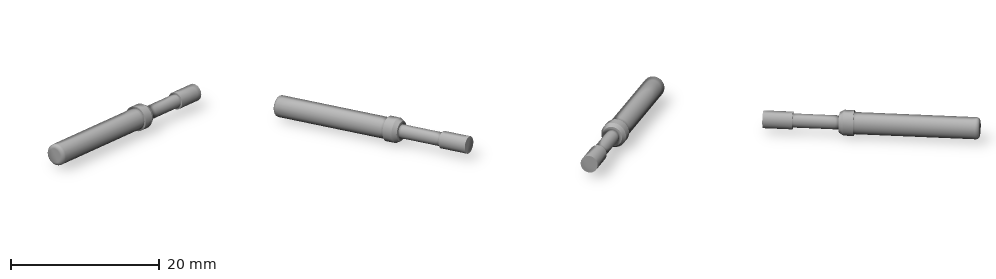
import cadquery as cq
import math

total_length = 29.3
body_diameter = 3.0
body_length = 17.0
body_end_radius = 0.5
collar_diameter = 3.5
collar_length = 2.0
collar_taper_length = 0.62
collar_taper_angle = 30.0
neck_diameter = 1.9
tip_diameter = 2.4
tip_length = 4.0

collar_end = body_length + collar_length
tip_start = total_length - tip_length
neck_length = tip_start - collar_end


def cylinder(start, diameter, length):
    """Solid cylinder about the Y axis, growing toward +Y from the start station."""
    plane = cq.Workplane("XZ", origin=(0, start, 0))
    return plane.circle(diameter / 2).extrude(-length)


def make_body():
    """Long barrel with a rounded free end."""
    return cylinder(0, body_diameter, body_length).faces("<Y").edges().fillet(body_end_radius)


def make_collar():
    """Stop collar that tapers toward the neck."""
    taper_depth = collar_taper_length * math.tan(math.radians(collar_taper_angle))
    outer_radius = collar_diameter / 2
    profile = (
        cq.Workplane("XY")
        .moveTo(0, body_length)
        .lineTo(outer_radius, body_length)
        .lineTo(outer_radius, collar_end - collar_taper_length)
        .lineTo(outer_radius - taper_depth, collar_end)
        .lineTo(0, collar_end)
        .close()
    )
    return profile.revolve(360, (0, 0, 0), (0, 1, 0))


neck = cylinder(collar_end, neck_diameter, neck_length)
tip = cylinder(tip_start, tip_diameter, tip_length)

result = make_body().union(make_collar()).union(neck).union(tip)